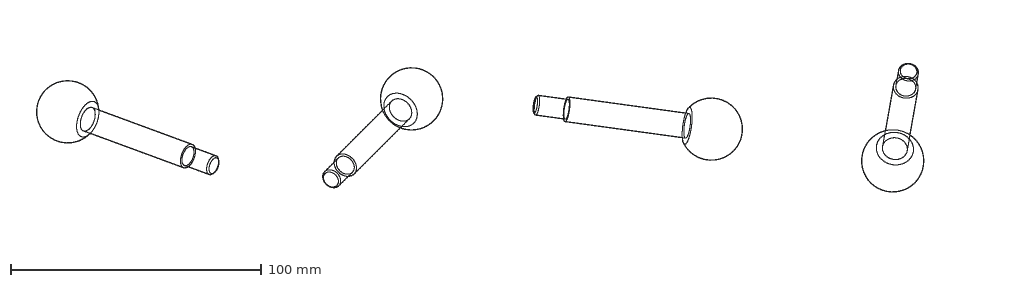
import cadquery as cq

total_length = 85.5
ball_diameter = 25.0
ball_length = 22.5
shank_diameter = 10.0
pin_diameter = 8.0
pin_length = 13.0
pin_chamfer = 0.7

ball_radius = ball_diameter / 2
flat_x = ball_length - ball_radius
end_x = total_length - ball_radius
shoulder_x = end_x - pin_length


def rod(diameter, start_x, stop_x):
    """Cylinder on the X axis between two stations."""
    return cq.Workplane("YZ", origin=(start_x, 0, 0)).circle(diameter / 2).extrude(stop_x - start_x)


def truncated_ball():
    """Ball cut flat on the shank side, revolved about X."""
    flat_radius = (ball_radius**2 - flat_x**2) ** 0.5
    return (
        cq.Workplane("XY")
        .moveTo(-ball_radius, 0)
        .threePointArc((0, ball_radius), (flat_x, flat_radius))
        .lineTo(flat_x, 0)
        .close()
        .revolve(360, (0, 0, 0), (1, 0, 0))
    )


shank = rod(shank_diameter, flat_x, shoulder_x)
pin = rod(pin_diameter, shoulder_x, end_x).faces(">X").chamfer(pin_chamfer)

result = truncated_ball().union(shank).union(pin)